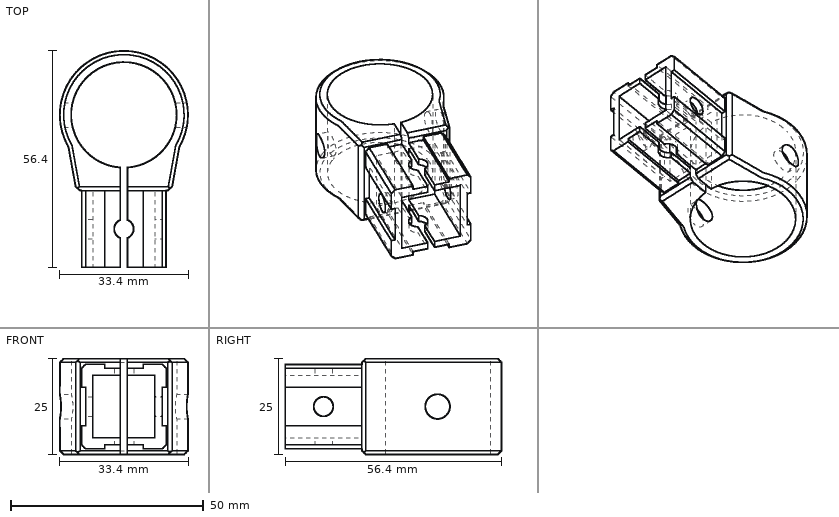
import cadquery as cq
import math

height = 25.0
ring_radius = 16.7
bore_radius = 13.7
edge_chamfer = 1.0
taper_start_angle = 30
ring_hole_diameter = 6.4

shoulder_y = -19.7
shoulder_half_width = 12.4

tube_width = 22.0
tube_end_y = -39.7
tube_length = shoulder_y - tube_end_y
tube_mid_y = (shoulder_y + tube_end_y) / 2
cavity_width = 16.2
groove_width = 10.0
groove_depth = 1.0
tube_hole_diameter = 5.0

slit_width = 1.85


def ring_and_neck():
    """Round ring running into a tapered neck, with all outer edges chamfered."""
    angle = math.radians(taper_start_angle)
    taper_x = ring_radius * math.cos(angle)
    taper_y = -ring_radius * math.sin(angle)
    body = (
        cq.Workplane("XY")
        .workplane(offset=-height / 2)
        .moveTo(taper_x, taper_y)
        .threePointArc((0, ring_radius), (-taper_x, taper_y))
        .lineTo(-shoulder_half_width, shoulder_y)
        .lineTo(shoulder_half_width, shoulder_y)
        .close()
        .extrude(height)
    )
    body = body.faces("|Z").edges().chamfer(edge_chamfer)
    return body.edges("|Z and <Y").chamfer(edge_chamfer)


def centered_box(width, depth, box_height, mid_y):
    return cq.Workplane("XY").box(width, depth, box_height).translate((0, mid_y, 0))


def square_tube():
    """Hollow square tube with a shallow groove along the middle of each side."""
    tube = centered_box(tube_width, tube_length, tube_width, tube_mid_y)
    tube = tube.edges("|Y").chamfer(edge_chamfer)
    tube = tube.cut(centered_box(cavity_width, tube_length, cavity_width, tube_mid_y))
    groove_floor_width = tube_width - 2 * groove_depth
    for side in (-1, 1):
        groove_center = side * (groove_floor_width + groove_depth) / 2
        groove = centered_box(groove_depth, tube_length, groove_width, tube_mid_y)
        tube = tube.cut(groove.translate((groove_center, 0, 0)))
        groove = centered_box(groove_width, tube_length, groove_depth, tube_mid_y)
        tube = tube.cut(groove.translate((0, 0, groove_center)))
    return tube


def cross_hole(diameter, y):
    """Cylinder along X, passing through both side walls."""
    length = 2 * ring_radius
    return cq.Workplane("YZ").center(y, 0).circle(diameter / 2).extrude(length / 2, both=True)


def vertical_hole(diameter, y):
    """Cylinder along Z, passing through the full height."""
    return cq.Workplane("XY").center(0, y).circle(diameter / 2).extrude(height / 2, both=True)


result = ring_and_neck().union(square_tube())
result = result.cut(vertical_hole(2 * bore_radius, 0))
result = result.cut(cross_hole(ring_hole_diameter, 0))
result = result.cut(cross_hole(tube_hole_diameter, tube_mid_y))
result = result.cut(vertical_hole(tube_hole_diameter, tube_mid_y))
result = result.cut(centered_box(slit_width, -tube_end_y, height, tube_end_y / 2))